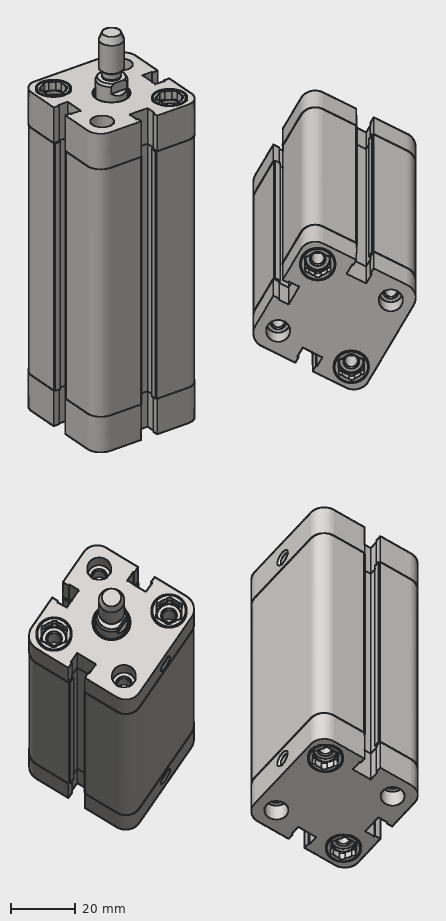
import cadquery as cq
import math

total_height = 136.0
cylinder_height = 114.2
cap_height = 12.8

barrel_width = 40.0
cap_width = 40.3
cap_end_width = 40.1
corner_center = 15.0

slot_depth = 5.6
slot_inner_width = 7.0
slot_mouth_width = 6.1
slot_lip_width = 5.2
cap_lip_depth = 2.0
barrel_lip_depth = 2.2
mouth_step_depth = 0.3
slot_angles = (-90, 0, 90)

hole_pitch = 26.0
hole_diameter = 7.5
open_hole_depth = 6.8
socket_hole_depth = 4.2
thread_mouth_diameter = 5.0
thread_diameter = 4.1
head_diameter = 11.2
head_chamfer = 0.4
socket_core_diameter = 8.0
socket_lobe_reach = 4.5
socket_lobe_radius = 1.1
socket_lobe_count = 6
socket_depth = 3.0

port_distance = 7.6
port_depth = 6.8
port_mouth_diameter = 5.6

rod_diameter = 10.0
rod_shoulder_height = 5.8
rod_shoulder_inset = 0.5
rod_shoulder_drop = 1.0
guide_mouth_diameter = 12.0
guide_recess_diameter = 11.2
guide_recess_depth = 1.2
wrench_flats = 8.0
flats_start = 2.5
neck_diameter = 6.1
tip_diameter = 6.0
undercut_diameter = 5.7
undercut_height = 0.5
thread_outer_diameter = 8.0
thread_start = 8.3
thread_cone_height = 0.8
tip_cone_height = 2.6

barrel_top = cylinder_height - cap_height
barrel_radius = barrel_width / 2 - corner_center
cap_radius = cap_width / 2 - corner_center
cap_taper = math.degrees(math.atan((cap_width - cap_end_width) / 2 / cap_height))
half_pitch = hole_pitch / 2


def rounded_square(width, radius):
    return cq.Sketch().rect(width, width).vertices().fillet(radius)


def slot_step(width, depth, height):
    """Box reaching from outside the +X side to the given depth below the barrel's side face."""
    face = barrel_width / 2
    step = cq.Workplane().box(2 * depth, width, height, centered=(True, True, False))
    return step.translate((face, 0, 0))


def slot_cutter(lip_width, lip_depth, height):
    """T-slot on the +X side: a narrow lip in front of a wider channel."""
    channel_depth = slot_depth - lip_depth
    channel_center = barrel_width / 2 - lip_depth - channel_depth / 2
    channel = (
        cq.Workplane()
        .box(channel_depth, slot_inner_width, height, centered=(True, True, False))
        .translate((channel_center, 0, 0))
    )
    return channel.union(slot_step(lip_width, lip_depth + channel_depth / 2, height))


def cut_slots(body, cutter):
    for angle in slot_angles:
        body = body.cut(cutter.rotate((0, 0, 0), (0, 0, 1), angle))
    return body


def cone_mouth(outer_diameter, inner_diameter):
    """45 degree countersink whose wide end lies on z = 0 and which narrows downwards."""
    depth = (outer_diameter - inner_diameter) / 2
    cone = cq.Solid.makeCone(inner_diameter / 2, outer_diameter / 2, depth)
    return cq.Workplane(cone).translate((0, 0, -depth))


def drill(diameter, depth):
    return cq.Workplane().circle(diameter / 2).extrude(-depth)


def thread_hole_cutter(bore_depth):
    """Plain bore down to a countersunk thread hole that ends at the barrel; its mouth is on z = 0."""
    mouth = cone_mouth(thread_mouth_diameter, thread_diameter).translate((0, 0, -bore_depth))
    return drill(hole_diameter, bore_depth).union(drill(thread_diameter, cap_height)).union(mouth)


def head_groove():
    """V-shaped ring left by the chamfered rim of a round head that lies flush in its bore."""
    rim = head_diameter / 2
    return (
        cq.Workplane("XZ")
        .polyline([(rim, 0), (rim, -head_chamfer), (rim - head_chamfer, 0)])
        .close()
        .revolve(360, (0, 0, 0), (0, 1, 0))
    )


def socket_cutter():
    """Round socket widened by rounded lobes, one of them pointing along +X."""
    lobe_center = socket_lobe_reach - socket_lobe_radius
    lobes = (
        cq.Workplane()
        .polarArray(lobe_center, 0, 360, socket_lobe_count)
        .circle(socket_lobe_radius)
        .extrude(-socket_depth)
    )
    return drill(socket_core_diameter, socket_depth).union(lobes)


def socket_hole_cutter():
    """Thread hole entered through a lobed socket in a flush round head."""
    return thread_hole_cutter(socket_hole_depth).union(socket_cutter()).union(head_groove())


def port_cutter():
    """Countersunk blind port running from the cap's -X side towards +X at z = 0."""
    port = drill(thread_diameter, port_depth).union(cone_mouth(port_mouth_diameter, thread_diameter))
    return port.rotate((0, 0, 0), (0, 1, 0), -90)


def make_cap():
    """Cap standing on z = 0 on its wide joint face, with its end face on top."""
    outline = rounded_square(cap_width, cap_radius)
    cap = cq.Workplane().placeSketch(outline).extrude(cap_height, taper=cap_taper)
    cap = cut_slots(cap, slot_cutter(slot_mouth_width, cap_lip_depth, cap_height))
    for offset in (-half_pitch, half_pitch):
        cap = cap.cut(socket_hole_cutter().translate((offset, offset, cap_height)))
        cap = cap.cut(thread_hole_cutter(open_hole_depth).translate((offset, -offset, cap_height)))
    return cap.cut(port_cutter().translate((-cap_width / 2, 0, cap_height - port_distance)))


def make_rear_cap():
    return make_cap().mirror("XY").translate((0, 0, cap_height))


def make_front_cap():
    guide = drill(rod_diameter, cap_height).union(drill(guide_recess_diameter, guide_recess_depth))
    guide = guide.union(cone_mouth(guide_mouth_diameter, guide_recess_diameter))
    return make_cap().cut(guide.translate((0, 0, cap_height))).translate((0, 0, barrel_top))


def make_barrel():
    height = barrel_top - cap_height
    barrel = cq.Workplane().placeSketch(rounded_square(barrel_width, barrel_radius)).extrude(height)
    cutter = slot_cutter(slot_lip_width, barrel_lip_depth, height)
    cutter = cutter.union(slot_step(slot_mouth_width, mouth_step_depth, height))
    return cut_slots(barrel, cutter).translate((0, 0, cap_height))


def make_rod():
    rod_radius = rod_diameter / 2
    shoulder = cylinder_height + rod_shoulder_height
    thread_bottom = cylinder_height + thread_start
    rod = (
        cq.Workplane("XZ")
        .moveTo(0, barrel_top)
        .lineTo(rod_radius, barrel_top)
        .lineTo(rod_radius, shoulder - rod_shoulder_drop)
        .lineTo(rod_radius - rod_shoulder_inset, shoulder)
        .lineTo(undercut_diameter / 2, shoulder)
        .lineTo(neck_diameter / 2, shoulder + undercut_height)
        .lineTo(neck_diameter / 2, thread_bottom)
        .lineTo(thread_outer_diameter / 2, thread_bottom + thread_cone_height)
        .lineTo(thread_outer_diameter / 2, total_height - tip_cone_height)
        .lineTo(tip_diameter / 2, total_height)
        .lineTo(0, total_height)
        .close()
        .revolve(360, (0, 0, 0), (0, 1, 0))
    )
    return cut_wrench_flats(rod)


def cut_wrench_flats(rod):
    """Two flats facing -X and +X, each running out at 45 degrees at its lower end."""
    reach = rod_diameter / 2 - wrench_flats / 2
    bottom = cylinder_height + flats_start
    flat = (
        cq.Workplane("XZ")
        .moveTo(wrench_flats / 2, bottom)
        .lineTo(wrench_flats / 2 + reach, bottom - reach)
        .lineTo(wrench_flats / 2 + reach, cylinder_height + rod_shoulder_height)
        .lineTo(wrench_flats / 2, cylinder_height + rod_shoulder_height)
        .close()
        .extrude(rod_diameter, both=True)
    )
    return rod.cut(flat).cut(flat.mirror("YZ"))


front_cap = make_front_cap()
rear_cap = make_rear_cap()
barrel = make_barrel()
piston_rod = make_rod()

result = cq.Compound.makeCompound(
    [body.solids().val() for body in (front_cap, barrel, rear_cap, piston_rod)]
)